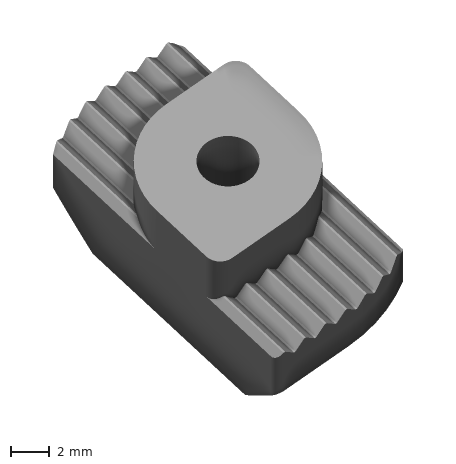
import cadquery as cq

length = 19.0
width = 9.7
height = 8.8
base_height = 5.8
end_chamfer = 2.5
base_corner_radius = 0.5
boss_corner_radius = 0.95
hole_diameter = 3.25

tooth_pitch = 1.4
tooth_depth = 0.59
tooth_flat = tooth_pitch / 2 - tooth_depth
first_root_y = 4.77
groove_count = 7

half_length = length / 2
half_width = width / 2


def base_quarter_block(side):
    """Straight end on one side of X, lying in the opposite half of Y."""
    profile = (
        cq.Workplane("XZ")
        .moveTo(0, 0)
        .lineTo(side * (half_length - end_chamfer), 0)
        .lineTo(side * half_length, end_chamfer)
        .lineTo(side * half_length, base_height)
        .lineTo(0, base_height)
        .close()
    )
    block = profile.extrude(side * half_width)
    corner = cq.selectors.NearestToPointSelector(
        (side * half_length, -side * half_width, (end_chamfer + base_height) / 2)
    )
    return block.edges("|Z").edges(corner).fillet(base_corner_radius)


def make_base():
    """Bar with two opposite corners swept round so it can turn in a slot."""
    round_body = (
        cq.Workplane("XY")
        .circle(half_length)
        .extrude(base_height)
        .faces("<Z")
        .chamfer(end_chamfer)
    )
    bar = cq.Workplane("XY").box(length, width, base_height, centered=(True, True, False))
    base = round_body.intersect(bar)
    for side in (-1, 1):
        base = base.union(base_quarter_block(side))
    return base


def cut_serrations(base):
    root_half = tooth_flat / 2
    mouth_half = root_half + tooth_depth
    root_z = base_height - tooth_depth
    for index in range(groove_count):
        y = first_root_y - index * tooth_pitch
        groove = (
            cq.Workplane("YZ", origin=(0, y, 0))
            .moveTo(-root_half, root_z)
            .lineTo(root_half, root_z)
            .lineTo(mouth_half, base_height)
            .lineTo(-mouth_half, base_height)
            .close()
            .extrude(half_length, both=True)
        )
        base = base.cut(groove)
    last_crest_edge_y = first_root_y - (groove_count - 0.5) * tooth_pitch - tooth_flat / 2
    run_out = last_crest_edge_y + half_width
    flank = (
        cq.Workplane("YZ")
        .moveTo(last_crest_edge_y, base_height)
        .lineTo(-half_width, base_height)
        .lineTo(-half_width, base_height - run_out)
        .close()
        .extrude(half_length, both=True)
    )
    return base.cut(flank)


def make_boss():
    """Square boss with two opposite corners rounded to the full half width."""
    bottom_z = base_height - 2 * tooth_depth
    boss = cq.Workplane("XY").box(
        width, width, height - bottom_z, centered=(True, True, False)
    ).translate((0, 0, bottom_z))
    disc = cq.Workplane("XY", origin=(0, 0, bottom_z)).circle(half_width).extrude(height - bottom_z)
    for side in (-1, 1):
        rounded_quarter = cq.Workplane("XY").box(
            half_width, half_width, height, centered=(True, True, False)
        ).translate((side * half_width / 2, side * half_width / 2, 0))
        boss = boss.cut(rounded_quarter.cut(disc))
        small_corner = cq.selectors.NearestToPointSelector(
            (side * half_width, -side * half_width, (bottom_z + height) / 2)
        )
        boss = boss.edges("|Z").edges(small_corner).fillet(boss_corner_radius)
    return boss


through_hole = cq.Workplane("XY").circle(hole_diameter / 2).extrude(height)
result = cut_serrations(make_base()).union(make_boss()).cut(through_hole)